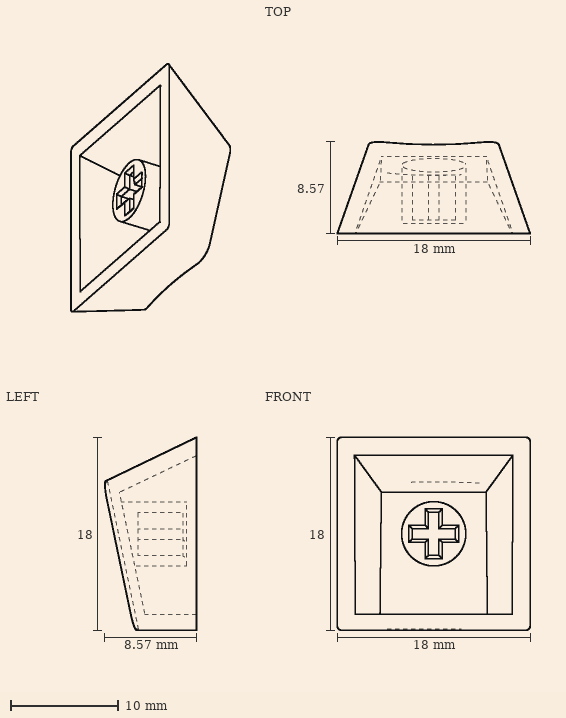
import cadquery as cq
import math

RIM_SIZE = 18.0
RIM_CORNER_RADIUS = 0.43

BACK_TILT = 11.8
BACK_DISTANCE = 7.8
BACK_WIDTH = 12.06
BACK_TOP = 4.77
BACK_CORNER_RADIUS = 1.71
DISH_RADIUS = 43.2
DISH_DEPTH = 0.49
BACK_EDGE_ROUND = 0.18

CAVITY_MOUTH_TOP = 7.33
CAVITY_BOTTOM = -7.49
CAVITY_MOUTH_TOP_WIDTH = 14.76
CAVITY_MOUTH_BOTTOM_WIDTH = 14.62
CAVITY_FLOOR_TOP = 3.89
CAVITY_FLOOR_TOP_WIDTH = 9.75
CAVITY_FLOOR_BOTTOM_WIDTH = 10.0
BACK_WALL = 1.39

STEM_DIAMETER = 6.0
STEM_FRONT = 0.99
CROSS_LENGTH = 4.0
CROSS_WIDTH = 0.97
CROSS_DEPTH = 4.5
CROSS_CHAMFER = 0.32

BACK_SLOPE = math.tan(math.radians(BACK_TILT))
RIM_HALF = RIM_SIZE / 2


def rim_y(z):
    return 0.0


def back_y(z):
    return BACK_DISTANCE + BACK_SLOPE * z


def floor_y(z):
    return back_y(z) - BACK_WALL


def rounded_outline(width, bottom, top, radius, y_at):
    """Closed rounded rectangle in X and Z, laid onto the plane Y = y_at(Z)."""
    half = width / 2
    diagonal = radius * math.sqrt(0.5)

    def point(x, z):
        return cq.Vector(x, y_at(z), z)

    corners = [
        (half - radius, top - radius, 1, 1),
        (radius - half, top - radius, -1, 1),
        (radius - half, bottom + radius, -1, -1),
        (half - radius, bottom + radius, 1, -1),
    ]
    arcs = []
    for x, z, side, level in corners:
        on_side = point(x + side * radius, z)
        middle = point(x + side * diagonal, z + level * diagonal)
        on_level = point(x, z + level * radius)
        start, end = (on_side, on_level) if side == level else (on_level, on_side)
        arcs.append(cq.Edge.makeThreePointArc(start, middle, end))
    edges = []
    for index, arc in enumerate(arcs):
        following = arcs[(index + 1) % len(arcs)]
        edges.append(arc)
        edges.append(cq.Edge.makeLine(arc.endPoint(), following.startPoint()))
    return cq.Wire.assembleEdges(edges)


def trapezoid_outline(top, top_width, bottom, bottom_width, y_at):
    """Closed symmetric trapezoid in X and Z, laid onto the plane Y = y_at(Z)."""
    corners = [
        (top_width / 2, top),
        (-top_width / 2, top),
        (-bottom_width / 2, bottom),
        (bottom_width / 2, bottom),
    ]
    return cq.Wire.makePolygon([cq.Vector(x, y_at(z), z) for x, z in corners], close=True)


def make_shell():
    rim = rounded_outline(RIM_SIZE, -RIM_HALF, RIM_HALF, RIM_CORNER_RADIUS, rim_y)
    back = rounded_outline(BACK_WIDTH, -RIM_HALF, BACK_TOP, BACK_CORNER_RADIUS, back_y)
    return cq.Workplane(obj=cq.Solid.makeLoft([rim, back], True))


def make_dish():
    """Large cylinder running down the back face, sunk into it by the dish depth."""
    tilt = math.radians(BACK_TILT)
    axis = cq.Vector(0, math.sin(tilt), math.cos(tilt))
    outward = cq.Vector(0, math.cos(tilt), -math.sin(tilt))
    on_back = cq.Vector(0, BACK_DISTANCE, 0)
    base = on_back + outward * (DISH_RADIUS - DISH_DEPTH) - axis * RIM_SIZE
    return cq.Workplane(obj=cq.Solid.makeCylinder(DISH_RADIUS, 2 * RIM_SIZE, base, axis))


def make_stem():
    """Round post that reaches past the cavity floor; removed from the cavity tool."""
    front = cq.Workplane("XZ", origin=(0, STEM_FRONT, 0))
    return front.circle(STEM_DIAMETER / 2).extrude(-RIM_SIZE)


def make_cavity():
    mouth = trapezoid_outline(
        CAVITY_MOUTH_TOP, CAVITY_MOUTH_TOP_WIDTH, CAVITY_BOTTOM, CAVITY_MOUTH_BOTTOM_WIDTH, rim_y
    )
    floor = trapezoid_outline(
        CAVITY_FLOOR_TOP, CAVITY_FLOOR_TOP_WIDTH, CAVITY_BOTTOM, CAVITY_FLOOR_BOTTOM_WIDTH, floor_y
    )
    cavity = cq.Workplane(obj=cq.Solid.makeLoft([mouth, floor], True))
    return cavity.cut(make_stem())


def make_cross_socket():
    front = cq.Workplane("XZ", origin=(0, STEM_FRONT, 0))
    socket = front.rect(CROSS_LENGTH, CROSS_WIDTH).extrude(-CROSS_DEPTH)
    socket = socket.union(front.rect(CROSS_WIDTH, CROSS_LENGTH).extrude(-CROSS_DEPTH))
    mouth_length = CROSS_LENGTH + 2 * CROSS_CHAMFER
    mouth_width = CROSS_WIDTH + 2 * CROSS_CHAMFER
    for width, height in ((mouth_length, mouth_width), (mouth_width, mouth_length)):
        lead_in = front.rect(width, height).extrude(-CROSS_CHAMFER, taper=45)
        socket = socket.union(lead_in)
    return socket


shell = make_shell().cut(make_dish())
back_edges = shell.faces("%CYLINDER").edges()
shell = shell.newObject(back_edges.vals()).fillet(BACK_EDGE_ROUND)
result = shell.cut(make_cavity()).cut(make_cross_socket())